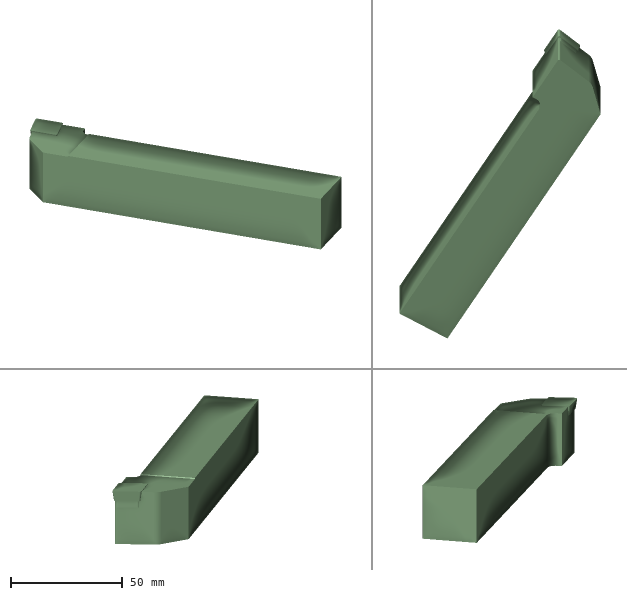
import cadquery as cq
import math

TOTAL_LENGTH = 150.0
SHANK_SIZE = 25.0

HEAD_TOP = 24.6
HEAD_TIP_X = 1.13
HEAD_STEP_X = 24.0
NECK_RADIUS = 3.8
FLANK_ANGLE = 10.0
BEVEL_END_X = 15.9
BEVEL_RADIUS = 5.4
HEAD_TIP_RADIUS = 0.8
RAMP_LENGTH = 0.3
NECK_END_X = HEAD_STEP_X + NECK_RADIUS

INSERT_SIDE_Y = 31.5
INSERT_WIDTH = 12.9
INSERT_THICKNESS = 4.7
INSERT_RELIEF = 7.0
INSERT_RADIUS = 0.8
INSERT_TIP_X = INSERT_RADIUS * (1 - 1 / math.tan(math.radians((90 - FLANK_ANGLE) / 2)))
INSERT_BOTTOM = SHANK_SIZE - INSERT_THICKNESS

SEAT_INSET = 0.9
SEAT_THICKNESS = 3.2
SEAT_RADIUS = 1.2

HEAD_SIDE_Y = INSERT_SIDE_Y - SEAT_INSET

FLANK_SLOPE = math.tan(math.radians(FLANK_ANGLE))


def rhombus(z):
    """Sharp insert outline at height z, leaning with the head flank."""
    side = INSERT_WIDTH / math.cos(math.radians(FLANK_ANGLE))
    lean = INSERT_WIDTH * FLANK_SLOPE
    low_y = INSERT_SIDE_Y - INSERT_WIDTH
    return cq.Workplane("XY", origin=(0, 0, z)).polyline([
        (INSERT_TIP_X, INSERT_SIDE_Y),
        (INSERT_TIP_X + side, INSERT_SIDE_Y),
        (INSERT_TIP_X + side + lean, low_y),
        (INSERT_TIP_X + lean, low_y),
    ]).close()


def sharp_insert():
    """Insert before its corners are rounded; also the shape of its pocket."""
    return rhombus(SHANK_SIZE).extrude(-INSERT_THICKNESS, taper=INSERT_RELIEF)


def make_insert():
    return sharp_insert().edges("not(#Z)").fillet(INSERT_RADIUS)


def make_head():
    corner_y = (BEVEL_END_X - HEAD_TIP_X - HEAD_SIDE_Y * FLANK_SLOPE) / (1 - FLANK_SLOPE)
    corner_x = BEVEL_END_X - corner_y
    arc_offset = NECK_RADIUS * (1 - math.sqrt(0.5))
    body = (
        cq.Workplane("XY")
        .moveTo(HEAD_TIP_X, HEAD_SIDE_Y)
        .lineTo(HEAD_STEP_X, HEAD_SIDE_Y)
        .lineTo(HEAD_STEP_X, SHANK_SIZE + NECK_RADIUS)
        .threePointArc((HEAD_STEP_X + arc_offset, SHANK_SIZE + arc_offset), (NECK_END_X, SHANK_SIZE))
        .lineTo(NECK_END_X, 0)
        .lineTo(BEVEL_END_X, 0)
        .lineTo(corner_x, corner_y)
        .close()
        .extrude(HEAD_TOP)
    )
    mid_z = HEAD_TOP / 2
    body = body.edges(cq.NearestToPointSelector((corner_x, corner_y, mid_z))).fillet(BEVEL_RADIUS)
    return body.edges(cq.NearestToPointSelector((HEAD_TIP_X, HEAD_SIDE_Y, mid_z))).fillet(HEAD_TIP_RADIUS)


def make_shank():
    """Square bar with a steep ramp rising from the head top."""
    return (
        cq.Workplane("XZ")
        .polyline([
            (NECK_END_X, 0),
            (TOTAL_LENGTH, 0),
            (TOTAL_LENGTH, SHANK_SIZE),
            (NECK_END_X + RAMP_LENGTH, SHANK_SIZE),
            (NECK_END_X, HEAD_TOP),
        ])
        .close()
        .extrude(-SHANK_SIZE)
    )


def make_seat():
    return (
        rhombus(INSERT_BOTTOM - SEAT_THICKNESS)
        .offset2D(-SEAT_INSET)
        .extrude(SEAT_THICKNESS)
        .edges("|Z")
        .fillet(SEAT_RADIUS)
    )


def make_holder():
    return make_head().union(make_shank()).cut(sharp_insert()).union(make_seat())


holder = make_holder()
insert = make_insert()

result = cq.Compound.makeCompound([holder.val(), insert.val()])